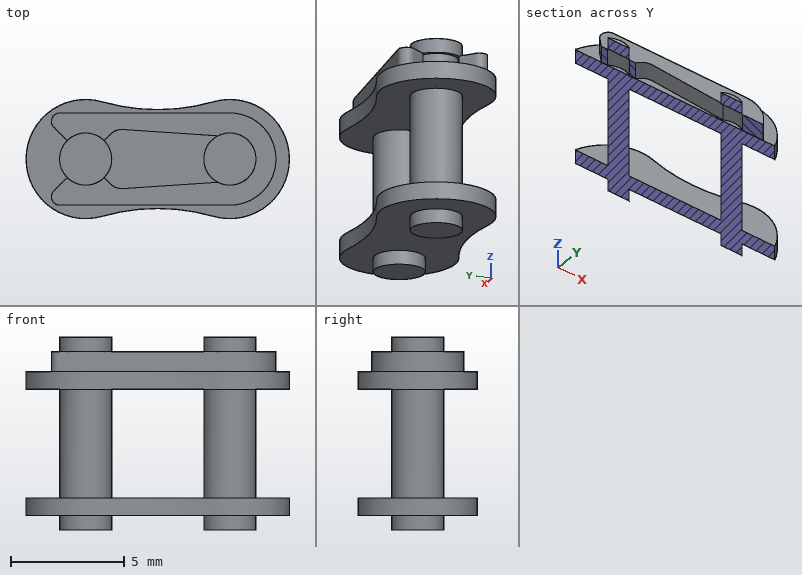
import cadquery as cq

total_length = 11.63
plate_width = 5.27
waist_width = 4.37
plate_thickness = 0.78
plate_gap = 4.79
pin_radius = 1.15
pin_overhang = 0.64
neck_radius = 0.98

clip_thickness = 0.88
clip_half_width = 2.04
prong_tip_radius = 0.37
window_half_width = 1.33
window_end_half_width = 0.99
window_corner_radius = 0.7

plate_radius = plate_width / 2
pin_x = total_length / 2 - plate_radius
pin_points = [(-pin_x, 0), (pin_x, 0)]
upper_plate_z = plate_thickness + plate_gap
clip_z = upper_plate_z + plate_thickness
clip_top_z = clip_z + clip_thickness
pin_top_z = clip_top_z + pin_overhang

waist_half = waist_width / 2
waist_radius = (pin_x**2 + waist_half**2 - plate_radius**2) / (2 * (plate_radius - waist_half))
waist_centre_y = waist_half + waist_radius
tangent_ratio = plate_radius / (plate_radius + waist_radius)
tangent_x = pin_x * (1 - tangent_ratio)
tangent_y = waist_centre_y * tangent_ratio


def make_plate(bottom_z):
    """Figure-eight side plate."""
    return (
        cq.Workplane("XY", origin=(0, 0, bottom_z))
        .moveTo(-tangent_x, tangent_y)
        .threePointArc((0, waist_half), (tangent_x, tangent_y))
        .threePointArc((total_length / 2, 0), (tangent_x, -tangent_y))
        .threePointArc((0, -waist_half), (-tangent_x, -tangent_y))
        .threePointArc((-total_length / 2, 0), (-tangent_x, tangent_y))
        .close()
        .extrude(plate_thickness)
    )


def make_cylinders(radius, bottom_z, top_z):
    """One cylinder on each pin axis."""
    return (
        cq.Workplane("XY", origin=(0, 0, bottom_z))
        .pushPoints(pin_points)
        .circle(radius)
        .extrude(top_z - bottom_z)
    )


def make_link():
    """Both plates and both pins, with a clip groove under each pin head."""
    link = make_plate(0).union(make_plate(upper_plate_z))
    link = link.union(make_cylinders(pin_radius, -pin_overhang, clip_z))
    link = link.union(make_cylinders(neck_radius, clip_z, clip_top_z))
    return link.union(make_cylinders(pin_radius, clip_top_z, pin_top_z))


def make_clip_blank():
    """Clip outline, round at +X, with a right-angled V mouth at -X that meets on the pin axis."""
    prong_end_x = -pin_x - clip_half_width
    return (
        cq.Workplane("XY", origin=(0, 0, clip_z))
        .moveTo(-pin_x, 0)
        .lineTo(prong_end_x, clip_half_width)
        .lineTo(pin_x, clip_half_width)
        .threePointArc((pin_x + clip_half_width, 0), (pin_x, -clip_half_width))
        .lineTo(prong_end_x, -clip_half_width)
        .close()
        .extrude(clip_thickness)
        .edges("|Z and <X")
        .fillet(prong_tip_radius)
    )


def make_clip_window():
    """Tapered opening between the pins, starting at 45 degrees from the open-end pin axis."""
    corner_x = -pin_x + window_half_width
    window = (
        cq.Workplane("XY", origin=(0, 0, clip_z))
        .polyline([
            (-pin_x, 0),
            (corner_x, window_half_width),
            (pin_x, window_end_half_width),
            (pin_x, -window_end_half_width),
            (corner_x, -window_half_width),
        ])
        .close()
        .extrude(clip_thickness)
    )
    return window.edges("|Z and (<Y or >Y)").fillet(window_corner_radius)


def make_clip():
    """Spring clip with clearance around both pin necks."""
    clip = make_clip_blank().cut(make_clip_window())
    return clip.cut(make_cylinders(pin_radius, clip_z, clip_top_z))


link = make_link()
clip = make_clip()
result = cq.Compound.makeCompound([link.val(), clip.val()])